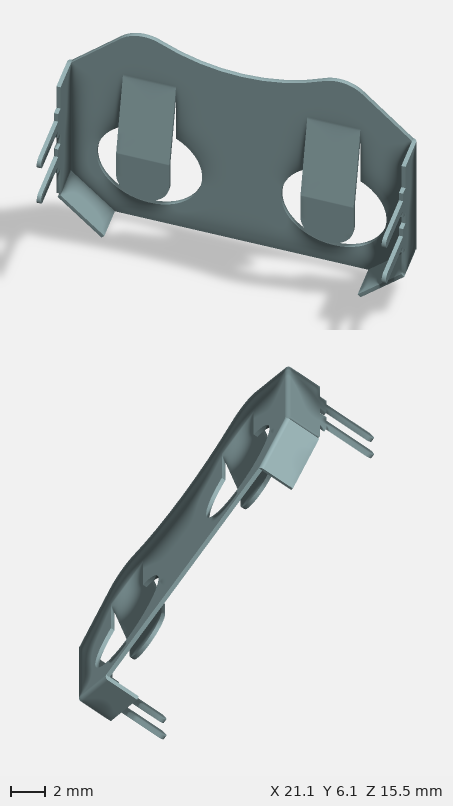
import cadquery as cq
import math


OVERALL_WIDTH = 21.08
SHEET = 0.25

ROUND_END_SHARE = 0.9999

BEND_X = OVERALL_WIDTH / 2 - SHEET
PLATE_TOP = 15.33
SHOULDER_Z = 11.75
BOTTOM_CORNER_X = 7.63
BOTTOM_CORNER_RISE = 2.6
CROWN_RADIUS = 2.0
DIP_BOTTOM = 13.85

TONGUE_X = 5.57
TONGUE_RADIUS = 1.6
WINDOW_RADIUS = 3.18
WINDOW_Z = 4.6
TONGUE_REACH = 1.55
TONGUE_TILT = math.radians(14.0)
ROOT_BEND_RADIUS = 0.53

FLANGE_DEPTH = 2.3
WALL_BOTTOM = 2.65
WALL_RELIEF = 0.08
TAB_SETBACK = 0.02

PIN_TIP_DEPTH = 6.1
PIN_WIDTH = 0.75
PIN_PITCH = 3.0
LOWER_PIN_Z = 5.95
PIN_SHOULDER_WIDTH = 2.02
PIN_SHOULDER_DEPTH = 2.76


def half_plate():
    """Flat plate with slanted corners, a rounded crown and a finger dip at the top."""
    diagonal = math.sqrt(0.5)
    crown_z = PLATE_TOP - CROWN_RADIUS
    crown_x = BEND_X + SHOULDER_Z - crown_z - CROWN_RADIUS / diagonal
    drop = DIP_BOTTOM - crown_z
    dip_radius = (crown_x**2 + drop**2 - CROWN_RADIUS**2) / (2 * (CROWN_RADIUS - drop))
    dip_z = DIP_BOTTOM + dip_radius
    touch_angle = math.atan2(crown_x, dip_z - crown_z)

    def on_dip(angle):
        return (dip_radius * math.sin(angle), dip_z - dip_radius * math.cos(angle))

    return (
        cq.Workplane("XZ")
        .lineTo(BOTTOM_CORNER_X, 0)
        .lineTo(BEND_X, BOTTOM_CORNER_RISE)
        .lineTo(BEND_X, SHOULDER_Z)
        .lineTo(crown_x + CROWN_RADIUS * diagonal, crown_z + CROWN_RADIUS * diagonal)
        .threePointArc((crown_x, PLATE_TOP), on_dip(touch_angle))
        .threePointArc(on_dip(touch_angle / 2), (0, DIP_BOTTOM))
        .close()
        .extrude(SHEET)
    )


def window():
    """Round opening with the slot above it that the tongue is bent out of."""
    opening = cq.Workplane("XZ").center(TONGUE_X, WINDOW_Z).circle(WINDOW_RADIUS).extrude(SHEET)
    slot_height = SHOULDER_Z - WINDOW_Z
    slot = (
        cq.Workplane("XZ")
        .center(TONGUE_X, WINDOW_Z + slot_height / 2)
        .rect(2 * TONGUE_RADIUS, slot_height)
        .extrude(SHEET)
    )
    return opening.union(slot)


def tongue():
    """Spring tongue: root bend, sloping leg, then a flat pad with a round end."""
    root_y = -SHEET - ROOT_BEND_RADIUS
    root_outer = ROOT_BEND_RADIUS + SHEET
    pad_back = SHEET - TONGUE_REACH
    pad_end = WINDOW_Z - TONGUE_RADIUS

    def on_root(radius, angle):
        return (root_y + radius * math.cos(angle), SHOULDER_Z - radius * math.sin(angle))

    leg_back_y, leg_back_z = on_root(root_outer, TONGUE_TILT)
    knee_z = leg_back_z - (leg_back_y - pad_back) / math.tan(TONGUE_TILT)

    def on_knee(angle):
        return (pad_back - SHEET * math.cos(angle), knee_z + SHEET * math.sin(angle))

    strip = (
        cq.Workplane("YZ", origin=(TONGUE_X, 0, 0))
        .moveTo(0, SHOULDER_Z)
        .threePointArc(on_root(root_outer, TONGUE_TILT / 2), (leg_back_y, leg_back_z))
        .lineTo(pad_back, knee_z)
        .lineTo(pad_back, pad_end)
        .lineTo(-TONGUE_REACH, pad_end)
        .lineTo(-TONGUE_REACH, knee_z)
        .threePointArc(on_knee(TONGUE_TILT / 2), on_knee(TONGUE_TILT))
        .lineTo(*on_root(ROOT_BEND_RADIUS, TONGUE_TILT))
        .threePointArc(on_root(ROOT_BEND_RADIUS, TONGUE_TILT / 2), (-SHEET, SHOULDER_Z))
        .close()
        .extrude(TONGUE_RADIUS, both=True)
    )
    return strip.edges("|Y and <Z").fillet(TONGUE_RADIUS * ROUND_END_SHARE)


def flange(length):
    """Strip along +Z, bent forward from a plate edge at X = 0 with a rounded outside."""
    arc_middle = SHEET * math.sqrt(0.5)
    return (
        cq.Workplane("XY")
        .threePointArc((arc_middle, arc_middle - SHEET), (SHEET, -SHEET))
        .lineTo(SHEET, -FLANGE_DEPTH)
        .lineTo(0, -FLANGE_DEPTH)
        .close()
        .extrude(length)
    )


def wall_block(depth_start, depth_end, z_middle, height):
    """Block as thick as the side wall, between two depths in front of the back face."""
    return cq.Workplane("XY").box(SHEET, depth_end - depth_start, height).translate(
        (BEND_X + SHEET / 2, -(depth_start + depth_end) / 2, z_middle)
    )


def side_wall():
    """Side wall with two solder pins, relieved at its lower end next to the tab."""
    wall = flange(SHOULDER_Z - WALL_BOTTOM).translate((BEND_X, 0, WALL_BOTTOM))
    relief = wall_block(SHEET, FLANGE_DEPTH, WALL_BOTTOM + WALL_RELIEF / 2, WALL_RELIEF)
    wall = wall.cut(relief)
    for pin_z in (LOWER_PIN_Z, LOWER_PIN_Z + PIN_PITCH):
        shoulder = wall_block(SHEET, PIN_SHOULDER_DEPTH, pin_z, PIN_SHOULDER_WIDTH)
        pin = wall_block(SHEET, PIN_TIP_DEPTH, pin_z, PIN_WIDTH)
        pin = pin.edges("|X and <Y").fillet(PIN_WIDTH / 2 * ROUND_END_SHARE)
        wall = wall.union(shoulder).union(pin)
    return wall


def corner_tab():
    """Tab bent forward from the slanted bottom corner of the plate."""
    run = BEND_X - BOTTOM_CORNER_X
    length = math.hypot(run, BOTTOM_CORNER_RISE) - TAB_SETBACK
    lean = math.degrees(math.atan2(run, BOTTOM_CORNER_RISE))
    return (
        flange(length)
        .translate((0, 0, TAB_SETBACK))
        .rotate((0, 0, 0), (0, 1, 0), lean)
        .translate((BOTTOM_CORNER_X, 0, 0))
    )


half = half_plate().cut(window()).union(tongue()).union(side_wall()).union(corner_tab())
result = half.union(half.mirror("YZ")).clean()